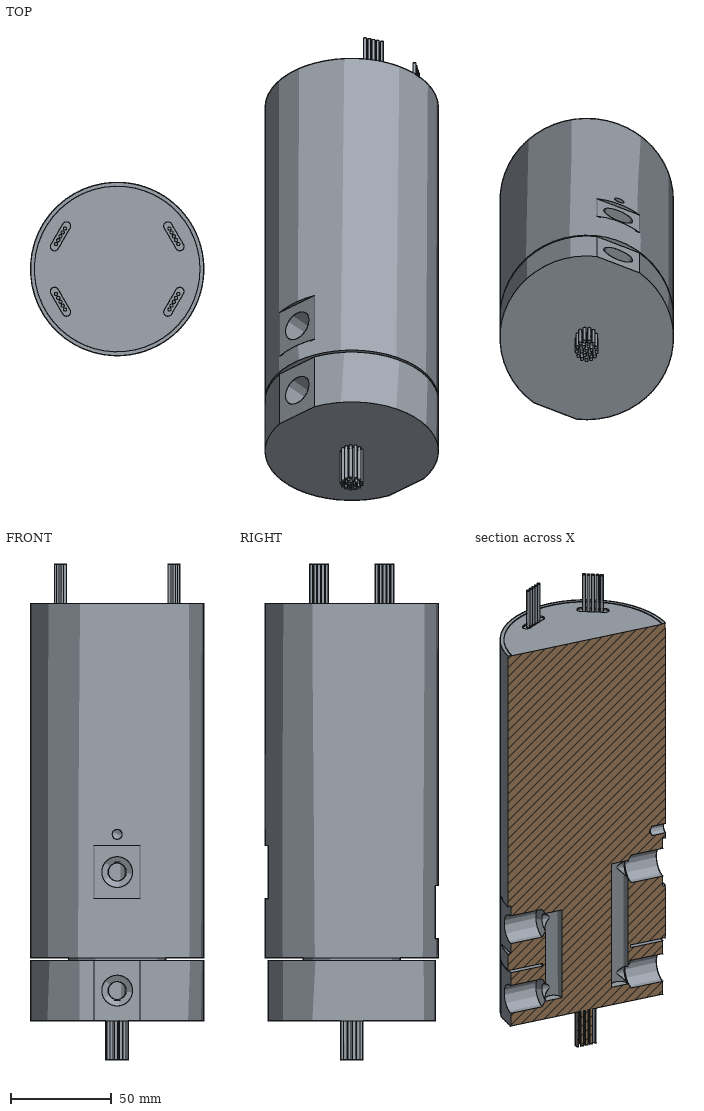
import cadquery as cq
import math

total_height = 245.5
lower_lead_length = 19.5
head_height = 30.0
neck_height = 1.2
upper_lead_length = 19.5
body_bottom = head_height + neck_height
leads_top = total_height - lower_lead_length
body_top = leads_top - upper_lead_length

outer_radius = 43.0
neck_radius = 24.0
cover_radius = 41.0
cover_recess = 0.2
cover_z = body_top - cover_recess

flat_width = 22.8
flat_height = 26.3
flat_distance = math.sqrt(outer_radius**2 - (flat_width / 2) ** 2)
head_port_z = head_height / 2
front_port_z = 73.5
rear_port_z = 53.7

port_diameter = 15.2
port_depth = 17.2
passage_radius = 4.5
passage_overrun = 5.0
drill_half_angle = math.radians(60)

vent_diameter = 5.0
vent_depth = 7.4
vent_z = 92.3

wire_diameter = 1.6
wire_embedment = 1.2

slot_center_radius = 32.5
slot_length = 16.0
slot_width = 4.2
slot_depth = 0.7
slot_angles = (30, 150, 210, 330)
slot_floor_z = cover_z - slot_depth
slot_wire_count = 5
slot_wire_pitch = 2.2

bundle_ring_pitch = 2.5
bundle_inner_count = 6
bundle_outer_count = len(slot_angles) * slot_wire_count - bundle_inner_count - 1


def cylinder(radius, bottom, top):
    return cq.Workplane("XY", origin=(0, 0, bottom)).circle(radius).extrude(top - bottom)


def cone_depth(radius, tip_radius):
    return (radius - tip_radius) / math.tan(drill_half_angle)


def drilled_hole(diameter, mouth_y, depth, z, pilot_radius=0, pilot_end_y=0):
    """Bore along +Y with a conical bottom, carried on by a narrower pilot bore if one is given."""
    radius = diameter / 2
    bore_end_y = mouth_y + depth
    cone_end_y = bore_end_y + cone_depth(radius, pilot_radius)
    profile = (
        cq.Workplane("XY")
        .moveTo(0, -outer_radius)
        .lineTo(radius, -outer_radius)
        .lineTo(radius, bore_end_y)
        .lineTo(pilot_radius, cone_end_y)
    )
    if pilot_radius > 0:
        profile = profile.lineTo(pilot_radius, pilot_end_y).lineTo(0, pilot_end_y)
    return profile.close().revolve(360, (0, 0, 0), (0, 1, 0)).translate((0, 0, z))


def flat_cut(bottom, top):
    """Block that trims the -Y side back to the flat between two heights."""
    thickness = outer_radius - flat_distance
    block = cq.Workplane("XY").box(flat_width, thickness, top - bottom, centered=(True, False, False))
    return block.translate((0, -outer_radius, bottom))


def port_side(body_port_z):
    """Flats, head port, body port and the passage joining them, all on the -Y side."""
    port_end_y = -flat_distance + port_depth + cone_depth(port_diameter / 2, passage_radius)
    passage_y = port_end_y + passage_radius
    cuts = flat_cut(0, head_height)
    cuts = cuts.union(flat_cut(body_port_z - flat_height / 2, body_port_z + flat_height / 2))
    for z in (head_port_z, body_port_z):
        port = drilled_hole(port_diameter, -flat_distance, port_depth, z, passage_radius, passage_y)
        cuts = cuts.union(port)
    passage = cylinder(passage_radius, head_port_z - passage_overrun, body_port_z + passage_overrun)
    return cuts.union(passage.translate((0, passage_y, 0)))


def wires(places, bottom, top):
    plane = cq.Workplane("XY", origin=(0, 0, bottom))
    return plane.pushPoints(places).circle(wire_diameter / 2).extrude(top - bottom)


def ring_places(radius, count):
    """Points evenly spaced on a circle, starting half a step from the X axis."""
    angles = [2 * math.pi * (i + 0.5) / count for i in range(count)]
    return [(radius * math.cos(angle), radius * math.sin(angle)) for angle in angles]


def turned(shape, angle):
    return shape.rotate((0, 0, 0), (0, 0, 1), angle)


result = cylinder(outer_radius, 0, head_height)
result = result.union(cylinder(neck_radius, head_height, body_bottom))
result = result.union(cylinder(outer_radius, body_bottom, body_top))
result = result.cut(cylinder(cover_radius, cover_z, body_top))

result = result.cut(port_side(front_port_z))
result = result.cut(turned(port_side(rear_port_z), 180))
result = result.cut(drilled_hole(vent_diameter, -outer_radius, vent_depth, vent_z))

slot = (
    cq.Workplane("XY", origin=(slot_center_radius, 0, slot_floor_z))
    .slot2D(slot_length, slot_width, 90)
    .extrude(slot_depth)
)
row_half_length = (slot_wire_count - 1) * slot_wire_pitch / 2
row_places = [
    (slot_center_radius, i * slot_wire_pitch - row_half_length) for i in range(slot_wire_count)
]
wire_row = wires(row_places, slot_floor_z - wire_embedment, leads_top)
for slot_angle in slot_angles:
    result = result.cut(turned(slot, slot_angle))
    result = result.union(turned(wire_row, slot_angle))

bundle_places = [(0, 0)]
bundle_places += ring_places(bundle_ring_pitch, bundle_inner_count)
bundle_places += ring_places(2 * bundle_ring_pitch, bundle_outer_count)
result = result.union(wires(bundle_places, -lower_lead_length, wire_embedment))